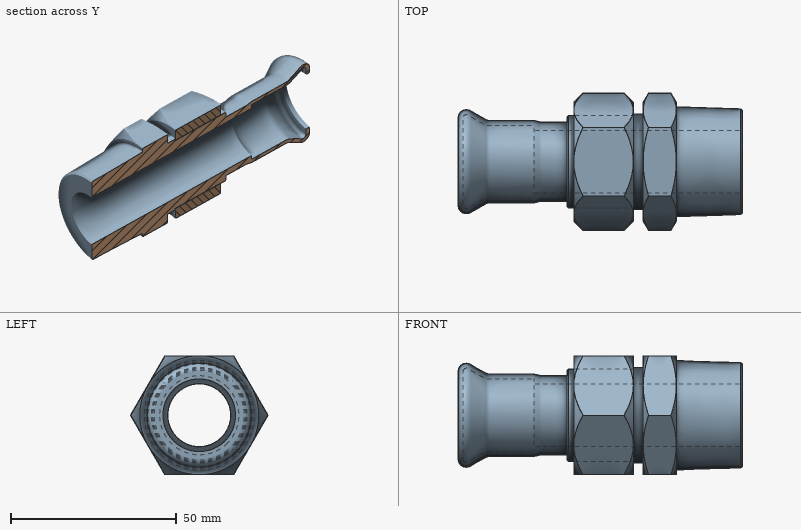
import cadquery as cq
import math


collar_start = 33.0
nut_start = 35.0
nut_length = 18.0
neck_length = 3.0
body_hex_length = 10.0
male_length = 20.0

nut_end = nut_start + nut_length
body_hex_start = nut_end + neck_length
body_hex_end = body_hex_start + body_hex_length
total_length = body_hex_end + male_length

wall = 1.5
socket_radius = 25.0 / 2
socket_bore_radius = socket_radius - wall
bead_radius = 2.5
bead_center_radius = 31.5 / 2 - bead_radius
bead_cone_angle = 30.0
bead_fillet = 2.0

tube_radius = 24.0 / 2
reduction_start = 22.9
reduction_end = 24.9
reduction_fillet = 2.0
through_bore_radius = 19.0 / 2

collar_radius = 28.0 / 2
collar_chamfer = 0.4
neck_radius = 29.0 / 2
male_start_radius = 33.25 / 2
male_taper = 1 / 16
male_tip_chamfer = 0.5
male_tip_radius = male_start_radius - male_taper * (male_length - male_tip_chamfer) / 2

across_flats = 36.0
nut_chamfer_angle = 45.0
body_hex_chamfer_angle = 30.0


def revolve_about_x(profile):
    return profile.close().revolve(360, (0, 0, 0), (1, 0, 0))


def bead_points(arc_radius, tube_wall_radius, fillet):
    """Outline of the bead: a rounded crest, a cone and a fillet onto a straight tube.

    Returns the arc start, middle and end, then the fillet start, middle and end."""
    angle = math.radians(bead_cone_angle)

    def on_crest(turn):
        return (
            bead_radius + arc_radius * math.sin(turn),
            bead_center_radius + arc_radius * math.cos(turn),
        )

    crest_end_x, crest_end_r = on_crest(angle)
    fillet_center_r = tube_wall_radius + fillet

    def fillet_drop(turn):
        return fillet_center_r - fillet * math.cos(turn)

    fillet_start_r = fillet_drop(angle)
    fillet_start_x = crest_end_x + (crest_end_r - fillet_start_r) / math.tan(angle)
    fillet_end_x = fillet_start_x + fillet * math.sin(angle)
    fillet_middle_x = fillet_end_x - fillet * math.sin(angle / 2)
    return [
        on_crest(-math.pi / 2),
        on_crest((angle - math.pi / 2) / 2),
        (crest_end_x, crest_end_r),
        (fillet_start_x, fillet_start_r),
        (fillet_middle_x, fillet_drop(angle / 2)),
        (fillet_end_x, tube_wall_radius),
    ]


def draw_bead(profile, points):
    crest_start, crest_middle, crest_end, fillet_start, fillet_middle, fillet_end = points
    return (
        profile.lineTo(*crest_start)
        .threePointArc(crest_middle, crest_end)
        .lineTo(*fillet_start)
        .threePointArc(fillet_middle, fillet_end)
    )


def draw_reduction(profile):
    """Cone from socket to tube, blended into both by tangent fillets."""
    angle = math.atan2(socket_radius - tube_radius, reduction_end - reduction_start)
    tangent = reduction_fillet * math.tan(angle / 2)
    along = tangent * math.cos(angle)
    down = tangent * math.sin(angle)
    return (
        profile.lineTo(reduction_start - tangent, socket_radius)
        .tangentArcPoint((reduction_start + along, socket_radius - down), relative=False)
        .lineTo(reduction_end - along, tube_radius + down)
        .tangentArcPoint((reduction_end + tangent, tube_radius), relative=False)
    )


def make_turned_body():
    """Outer shape of the fitting without its hexagon, and with no bore yet."""
    profile = cq.Workplane("XY").moveTo(0, 0)
    profile = draw_bead(profile, bead_points(bead_radius, socket_radius, bead_fillet))
    profile = draw_reduction(profile)
    profile = (
        profile.lineTo(collar_start, tube_radius)
        .lineTo(collar_start, collar_radius - collar_chamfer)
        .lineTo(collar_start + collar_chamfer, collar_radius)
        .lineTo(nut_end, collar_radius)
        .lineTo(nut_end, neck_radius)
        .lineTo(body_hex_end, neck_radius)
        .lineTo(body_hex_end, male_start_radius)
        .lineTo(total_length - male_tip_chamfer, male_tip_radius)
        .lineTo(total_length, male_tip_radius - male_tip_chamfer)
        .lineTo(total_length, 0)
    )
    return revolve_about_x(profile)


def make_bore():
    """Socket bore with the seal groove inside the bead, a pipe stop and the through bore."""
    groove = bead_points(bead_radius - wall, socket_bore_radius, bead_fillet + wall)
    profile = (
        cq.Workplane("XY")
        .moveTo(0, 0)
        .lineTo(0, socket_bore_radius)
        .lineTo(wall, socket_bore_radius)
    )
    profile = draw_bead(profile, groove)
    profile = (
        profile.lineTo(reduction_start, socket_bore_radius)
        .lineTo(reduction_start, through_bore_radius)
        .lineTo(total_length, through_bore_radius)
        .lineTo(total_length, 0)
    )
    return revolve_about_x(profile)


def make_hexagon(start, length, chamfer_angle):
    """Hexagonal prism with flats at +Z and -Z and both ends coned down to the flats."""
    corner_radius = across_flats / math.sqrt(3)
    flat_radius = across_flats / 2
    cone_length = (corner_radius - flat_radius) * math.tan(math.radians(chamfer_angle))
    end = start + length
    prism = (
        cq.Workplane("YZ", origin=(start, 0, 0))
        .polygon(6, 2 * corner_radius)
        .extrude(length)
    )
    coned_ends = revolve_about_x(
        cq.Workplane("XY")
        .moveTo(start, 0)
        .lineTo(start, flat_radius)
        .lineTo(start + cone_length, corner_radius)
        .lineTo(end - cone_length, corner_radius)
        .lineTo(end, flat_radius)
        .lineTo(end, 0)
    )
    return prism.intersect(coned_ends)


def make_fitting_body():
    body_hex = make_hexagon(body_hex_start, body_hex_length, body_hex_chamfer_angle)
    return make_turned_body().union(body_hex).cut(make_bore())


def make_union_nut():
    collar_hole = (
        cq.Workplane("YZ", origin=(nut_start, 0, 0))
        .circle(collar_radius)
        .extrude(nut_length)
    )
    return make_hexagon(nut_start, nut_length, nut_chamfer_angle).cut(collar_hole)


fitting_body = make_fitting_body()
union_nut = make_union_nut()

result = cq.Compound.makeCompound([fitting_body.solids().val(), union_nut.solids().val()])